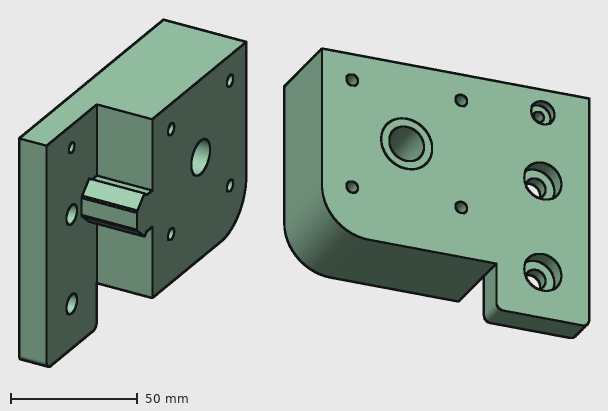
import cadquery as cq

length = 115.0
height = 100.0
total_thickness = 37.7
plate_thickness = 12.5
body_height = 80.0
tab_width = 40.0
body_corner_radius = 20.0
tab_corner_radius = 3.0

motor_y = 78.5
motor_z = -34.8
motor_bore_diameter = 15.0
motor_recess_diameter = 22.0
motor_recess_depth = 0.1
screw_diameter = 5.0
screw_spacing = 46.9
tab_hole_y = tab_width / 2
large_hole_diameter = 8.4
large_counterbore_diameter = 16.0
large_counterbore_depth = 7.0
small_hole_diameter = 4.4
small_counterbore_diameter = 10.0
small_counterbore_depth = 4.0
small_hole_z = -10.1
large_hole_z = (-tab_width, -body_height)

key_z = -tab_width
key_neck_half_height = 8.2
key_barb_half_height = 9.7
key_shoulder_half_height = 4.6
key_tip_half_height = 3.8
key_neck_end_y = 35.4
key_barb_y = 33.9
key_shoulder_y = 28.3
key_tip_y = 27.8


def yz_prism(points, start_x, end_x):
    """Extrude a closed (y, z) outline along X between two positions."""
    return cq.Workplane("YZ").workplane(offset=start_x).polyline(points).close().extrude(end_x - start_x)


def cylinder(y, z, diameter, depth):
    """Cylinder along X, starting at the plate's -X face."""
    return cq.Workplane("YZ").center(y, z).circle(diameter / 2).extrude(depth)


def counterbored_hole(y, z, hole_diameter, bore_diameter, bore_depth):
    """Through-hole with a wider bore sunk into the plate's -X face."""
    hole = cylinder(y, z, hole_diameter, total_thickness)
    return hole.union(cylinder(y, z, bore_diameter, bore_depth))


def make_plate():
    """L-shaped mounting plate with a tab rounded at its lower corners."""
    outline = [
        (0, 0),
        (length, 0),
        (length, -body_height),
        (tab_width, -body_height),
        (tab_width, -height),
        (0, -height),
    ]
    plate = yz_prism(outline, 0, plate_thickness)
    plate = plate.edges("|X and <Z").fillet(tab_corner_radius)
    return plate.edges("|X and >Y").edges("<Z").fillet(body_corner_radius)


def make_block():
    """Thick block behind the wide part of the plate."""
    outline = [
        (tab_width, 0),
        (length, 0),
        (length, -body_height),
        (tab_width, -body_height),
    ]
    block = yz_prism(outline, 0, total_thickness)
    return block.edges("|X and >Y").edges("<Z").fillet(body_corner_radius)


def make_key():
    """Arrow-headed key that starts at the block and points toward -Y."""
    profile = [
        (tab_width, key_neck_half_height),
        (key_neck_end_y, key_neck_half_height),
        (key_barb_y, key_barb_half_height),
        (key_shoulder_y, key_shoulder_half_height),
        (key_tip_y, key_tip_half_height),
    ]
    upper = [(y, key_z + half) for y, half in profile]
    lower = [(y, key_z - half) for y, half in reversed(profile)]
    return yz_prism(upper + lower, plate_thickness, total_thickness)



result = make_plate().union(make_block()).union(make_key())

result = result.cut(
    counterbored_hole(motor_y, motor_z, motor_bore_diameter, motor_recess_diameter, motor_recess_depth)
)

for side_y in (-0.5, 0.5):
    for side_z in (-0.5, 0.5):
        screw_y = motor_y + side_y * screw_spacing
        screw_z = motor_z + side_z * screw_spacing
        result = result.cut(cylinder(screw_y, screw_z, screw_diameter, total_thickness))

for hole_z in large_hole_z:
    result = result.cut(
        counterbored_hole(
            tab_hole_y, hole_z, large_hole_diameter, large_counterbore_diameter, large_counterbore_depth
        )
    )
result = result.cut(
    counterbored_hole(
        tab_hole_y, small_hole_z, small_hole_diameter, small_counterbore_diameter, small_counterbore_depth
    )
)